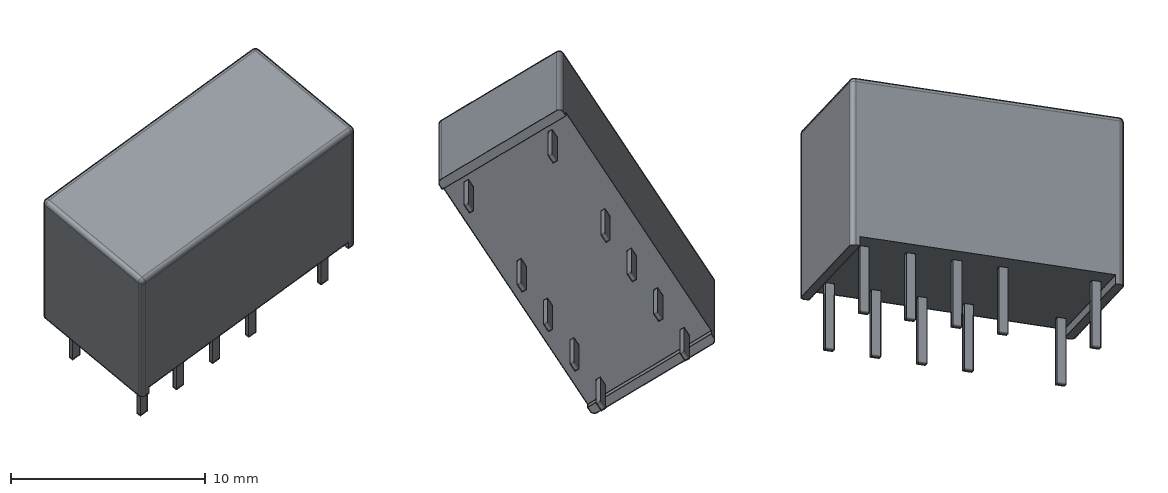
import cadquery as cq

CASE_WIDTH = 7.5
CASE_LENGTH = 15.0
CASE_HEIGHT = 9.4
EDGE_RADIUS = 0.26
STANDOFF_HEIGHT = 0.5
FOOT_LENGTH = 0.5

PIN_PITCH = 2.54
PIN_WIDTH = 0.5
PIN_THICKNESS = 0.25
PIN_DROP = 3.2
PIN_TIP_RADIUS = 0.05
ROW_OFFSET = PIN_PITCH
PIN_STATIONS = (-2.5, -1.5, -0.5, 0.5, 2.5)


def make_case():
    """Rounded block with its feet standing on Z = 0."""
    block = cq.Workplane("XY").box(
        CASE_WIDTH, CASE_LENGTH, CASE_HEIGHT, centered=(True, True, False)
    )
    block = block.edges("|Z or >Z").fillet(EDGE_RADIUS)
    floor_recess = cq.Workplane("XY").box(
        CASE_WIDTH,
        CASE_LENGTH - 2 * FOOT_LENGTH,
        STANDOFF_HEIGHT,
        centered=(True, True, False),
    )
    return block.cut(floor_recess)


def make_pin(x, y):
    """Flat pin from the case floor down to a tip rounded on all its edges."""
    pin = cq.Workplane("XY").box(
        PIN_THICKNESS,
        PIN_WIDTH,
        PIN_DROP + STANDOFF_HEIGHT,
        centered=(True, True, False),
    )
    pin = pin.faces("<Z").edges().fillet(PIN_TIP_RADIUS)
    return pin.translate((x, y, -PIN_DROP))


result = make_case()
for row_x in (-ROW_OFFSET, ROW_OFFSET):
    for station in PIN_STATIONS:
        result = result.union(make_pin(row_x, station * PIN_PITCH))